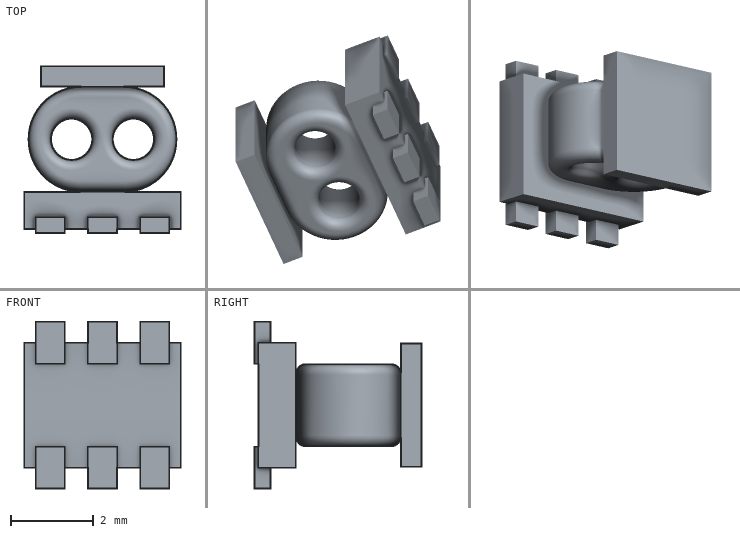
import cadquery as cq

total_depth = 4.06
total_height = 4.06

front_width = 3.81
front_height = 3.045
front_depth = 0.91
pad_width = 0.71
pad_height = 1.025
pad_depth = 0.395
pad_pitch = 1.27
pad_protrusion = 0.097

back_width = 3.0
back_height = 3.0
back_depth = 0.5

core_width = 3.6
core_height = 2.0
core_rim_radius = 0.25
hole_radius = 0.5
hole_spacing = 1.502
hole_rim_radius = 0.248

pad_face = -total_depth / 2
front_face = pad_face + pad_protrusion
core_start = front_face + front_depth
core_end = total_depth / 2 - back_depth
core_depth = core_end - core_start
core_center = (core_start + core_end) / 2


def block(width, depth, height, x, y_start, z):
    """Box centred on x and z, reaching from y_start toward +Y."""
    return cq.Workplane("XY").box(width, depth, height).translate((x, y_start + depth / 2, z))


def hole_cutter(x):
    """Through hole that flares in a quarter round at both ends."""
    half = core_height / 2
    straight = half - hole_rim_radius
    mouth = hole_radius + hole_rim_radius
    diagonal = hole_rim_radius * 0.5 ** 0.5
    profile = (
        cq.Workplane("XZ")
        .moveTo(0, -half)
        .lineTo(mouth, -half)
        .threePointArc((mouth - diagonal, -straight - diagonal), (hole_radius, -straight))
        .lineTo(hole_radius, straight)
        .threePointArc((mouth - diagonal, straight + diagonal), (mouth, half))
        .lineTo(0, half)
        .close()
    )
    return profile.revolve(360, (0, 0, 0), (0, 1, 0)).translate((x, core_center, 0))


def make_core():
    """Stadium-shaped core with rounded rims and two flared holes."""
    core = (
        cq.Workplane("XY", origin=(0, core_center, -core_height / 2))
        .slot2D(core_width, core_depth)
        .extrude(core_height)
        .faces("<Z or >Z")
        .edges()
        .fillet(core_rim_radius)
    )
    for side in (-1, 1):
        core = core.cut(hole_cutter(side * hole_spacing / 2))
    return core


result = make_core()
result = result.union(block(front_width, front_depth, front_height, 0, front_face, 0))
result = result.union(block(back_width, back_depth, back_height, 0, core_end, 0))

pad_z = (total_height - pad_height) / 2
for column in (-1, 0, 1):
    for row in (-1, 1):
        pad = block(pad_width, pad_depth, pad_height, column * pad_pitch, pad_face, row * pad_z)
        result = result.union(pad)